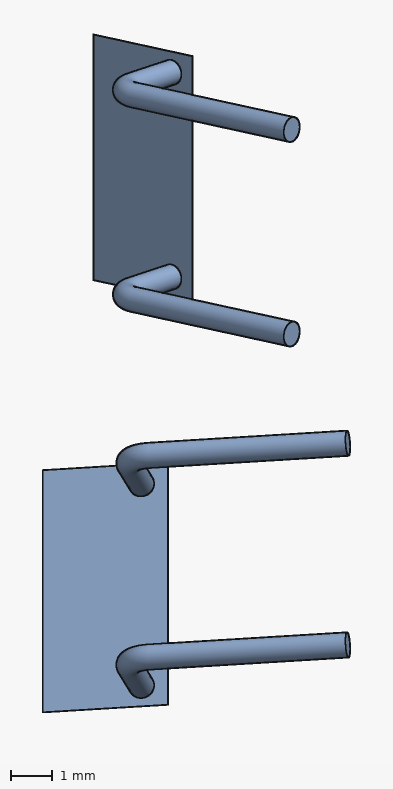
import cadquery as cq

plate_width = 3.05
plate_height = 6.1
plate_thickness = 0.02

pin_diameter = 0.61
pin_pitch = 5.08
pin_from_plate_edge = 2.41
bend_radius = pin_diameter

total_length = 7.85
total_depth = 2.46

plate_left = -plate_width / 2
plate_front = -plate_thickness
pin_root_x = plate_left + pin_from_plate_edge
pin_tip_x = plate_left + total_length
pin_leg_y = -total_depth + pin_diameter / 2


def make_plate():
    return (
        cq.Workplane("XY")
        .box(plate_width, plate_thickness, plate_height)
        .translate((0, -plate_thickness / 2, 0))
    )


def make_pin(z):
    """Wire that leaves the plate along -Y, bends, and runs along +X."""
    bend_start = (pin_root_x, pin_leg_y + bend_radius)
    bend_end = (pin_root_x + bend_radius, pin_leg_y)
    path = (
        cq.Workplane("XY", origin=(0, 0, z))
        .moveTo(pin_root_x, plate_front)
        .lineTo(*bend_start)
        .tangentArcPoint(bend_end, relative=False)
        .lineTo(pin_tip_x, pin_leg_y)
    )
    root = cq.Workplane("XZ", origin=(pin_root_x, plate_front, z))
    return root.circle(pin_diameter / 2).sweep(path)


result = make_plate()
for pin_z in (-pin_pitch / 2, pin_pitch / 2):
    result = result.union(make_pin(pin_z))